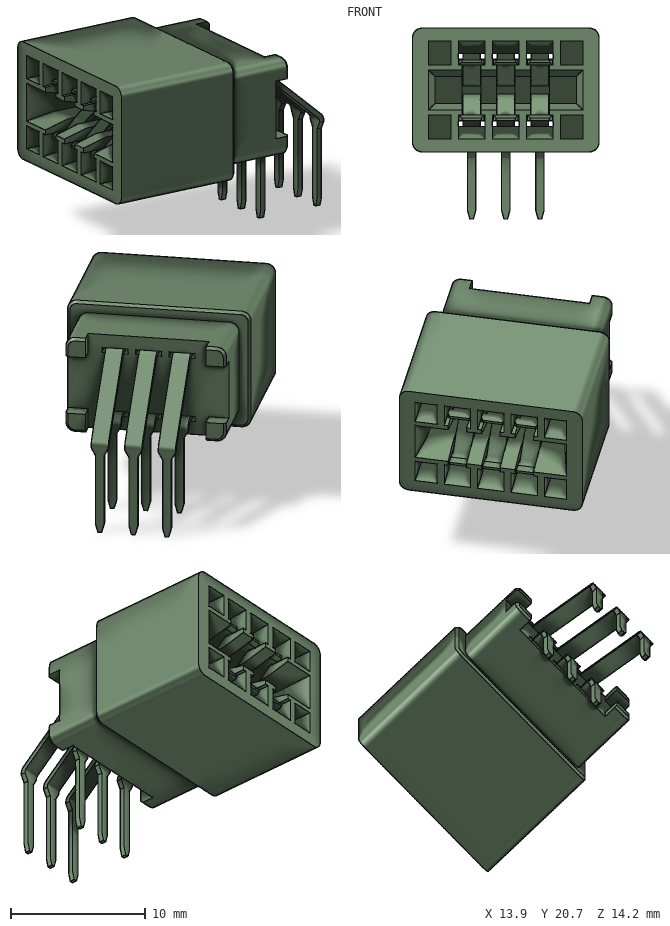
import cadquery as cq
import math


OVERALL_HEIGHT = 14.25

HOUSING_WIDTH = 13.92
HOUSING_HEIGHT = 9.25
HOUSING_LENGTH = 10.22
TAIL_INSET = 0.87
TAIL_END = 15.61
TAIL_NOTCH_DEPTH = 1.2
TAIL_NOTCH_WIDTH = 9.15
TAIL_NOTCH_HEIGHT = 4.53
CORNER_RADIUS = 0.75
EDGE_CHAMFER = 0.2
TAIL_FACE = TAIL_END - TAIL_NOTCH_DEPTH

SLOT_BEVEL = 0.5
SLOT_BEVEL_LENGTH = 2.0
SLOT_MOUTH_WIDTH = 11.5
SLOT_MOUTH_HEIGHT = 2.98
SLOT_DEPTH = 7.85

CONTACT_COUNT = 3
CONTACT_PITCH = 2.55
CAVITY_WIDTH = 1.99
CAVITY_INNER_Z = 1.86
CAVITY_OUTER_Z = 3.66
CAVITY_DEPTH = 9.3
CHANNEL_WIDTH = 1.4
POCKET_WIDTH = 1.68

THICKNESS = 0.4
STRIP_WIDTH = 1.3
STRIP_OUTER_Z = 2.7
BEND_RADIUS = 1.5 * THICKNESS
APEX_RADIUS = 1.45
APEX_Z = 0.3
LEAD_ANGLE = 43.0
ARM_ANGLE = 29.0
LEG_ANGLE = 41.0

TIP_START = 0.66
TIP_END = 1.55
TIP_WIDTH = 1.86
TIP_BEVEL = 0.2
TIP_BEVEL_LENGTH = 0.4

UPPER_PIN_END = 20.68
LOWER_PIN_END = TAIL_END
PIN_WIDTH = 0.65
PIN_POINT_WIDTH = 0.27
PIN_POINT_LENGTH = 0.66
UPPER_SHOULDER_Z = -2.9
SHOULDER_LENGTH = 0.6
PIN_BOTTOM = HOUSING_HEIGHT / 2 - OVERALL_HEIGHT

UPPER = 1
LOWER = -1


def box(width, y_start, y_end, z_start, z_end, x_center=0.0):
    """Axis-aligned block centred on x_center."""
    return (
        cq.Workplane("XY")
        .box(width, y_end - y_start, z_end - z_start, centered=(True, False, False))
        .translate((x_center, y_start, z_start))
    )


def extrude_side_profile(profile, width):
    """Extrude a YZ profile symmetrically about X = 0."""
    return profile.extrude(width / 2, both=True)


def contact_positions():
    middle = (CONTACT_COUNT - 1) / 2
    return [(i - middle) * CONTACT_PITCH for i in range(CONTACT_COUNT)]



def rounded_block(width, height, y_end):
    """Block from Y = 0 with rounded long edges and a chamfered rear face."""
    return (
        box(width, 0, y_end, -height / 2, height / 2)
        .edges("|Y")
        .fillet(CORNER_RADIUS)
        .faces(">Y")
        .chamfer(EDGE_CHAMFER)
    )


def housing_body():
    tail_width = HOUSING_WIDTH - 2 * TAIL_INSET
    tail_height = HOUSING_HEIGHT - 2 * TAIL_INSET
    body = rounded_block(HOUSING_WIDTH, HOUSING_HEIGHT, HOUSING_LENGTH)
    body = body.union(rounded_block(tail_width, tail_height, TAIL_END))
    body = body.cut(box(TAIL_NOTCH_WIDTH, TAIL_FACE, TAIL_END, -tail_height / 2, tail_height / 2))
    return body.cut(box(tail_width, TAIL_FACE, TAIL_END, -TAIL_NOTCH_HEIGHT / 2, TAIL_NOTCH_HEIGHT / 2))


def card_slot():
    """Straight slot with a tapered mouth."""
    width = SLOT_MOUTH_WIDTH - 2 * SLOT_BEVEL
    height = SLOT_MOUTH_HEIGHT - 2 * SLOT_BEVEL
    mouth = (
        cq.Workplane("XZ")
        .rect(SLOT_MOUTH_WIDTH, SLOT_MOUTH_HEIGHT)
        .workplane(offset=-SLOT_BEVEL_LENGTH)
        .rect(width, height)
        .loft(ruled=True)
    )
    return mouth.union(box(width, 0, SLOT_DEPTH, -height / 2, height / 2))


def contact_cavity(side):
    """Tapered cavity that ends in a flat passage out of the tail face."""
    profile = (
        cq.Workplane("YZ")
        .moveTo(0, side * CAVITY_INNER_Z)
        .lineTo(0, side * CAVITY_OUTER_Z)
        .lineTo(CAVITY_DEPTH, side * STRIP_OUTER_Z)
        .lineTo(TAIL_FACE, side * STRIP_OUTER_Z)
        .lineTo(TAIL_FACE, side * (STRIP_OUTER_Z - THICKNESS))
        .lineTo(CAVITY_DEPTH, side * (STRIP_OUTER_Z - THICKNESS))
        .lineTo(CAVITY_DEPTH, side * CAVITY_INNER_Z)
        .close()
    )
    return extrude_side_profile(profile, CAVITY_WIDTH)


def corner_pocket(x_side, z_side):
    """Empty blind pocket, flush with the end of the card slot mouth."""
    z_low, z_high = sorted((z_side * CAVITY_INNER_Z, z_side * CAVITY_OUTER_Z))
    x_center = x_side * (SLOT_MOUTH_WIDTH - POCKET_WIDTH) / 2
    return box(POCKET_WIDTH, 0, CAVITY_DEPTH, z_low, z_high, x_center)


def make_housing():
    housing = housing_body().cut(card_slot())
    channel = box(CHANNEL_WIDTH, 0, CAVITY_DEPTH, -CAVITY_INNER_Z, CAVITY_INNER_Z)
    opening = channel.union(contact_cavity(UPPER)).union(contact_cavity(LOWER))
    for x in contact_positions():
        housing = housing.cut(opening.translate((x, 0, 0)))
    for x_side in (-1, 1):
        for z_side in (UPPER, LOWER):
            housing = housing.cut(corner_pocket(x_side, z_side))
    return housing



def rise(radius, angle):
    """Height gained by a bend that starts or ends level."""
    return radius * (1 - math.cos(math.radians(angle)))


def faces_beside(y, z, heading):
    """Points on the left and right faces of the sheet beside a path point."""
    offset_y = -math.sin(heading) * THICKNESS / 2
    offset_z = math.cos(heading) * THICKNESS / 2
    return (y + offset_y, z + offset_z), (y - offset_y, z - offset_z)


def draw_edge(profile, middle, end):
    """Continue a profile to end, by an arc when a middle point is given."""
    return profile.threePointArc(middle, end) if middle else profile.lineTo(*end)


def bent_strip(start, moves):
    """Sheet strip that follows a path in the YZ plane, heading +Y at first.

    Each move is (length, 0) for a straight or (radius, turn) for a bend in degrees,
    where a positive turn bends to the left, towards +Z at the start.
    """
    y, z = start
    heading = 0.0
    left_start, right_start = faces_beside(y, z, heading)
    profile = cq.Workplane("YZ").moveTo(*left_start)
    right_edges = []
    for size, turn_degrees in moves:
        left_middle = right_middle = None
        if turn_degrees:
            turn = math.radians(turn_degrees)
            curve = math.copysign(size, turn)
            center_y = y - curve * math.sin(heading)
            center_z = z + curve * math.cos(heading)
            halfway = heading + turn / 2
            middle_y = center_y + curve * math.sin(halfway)
            middle_z = center_z - curve * math.cos(halfway)
            left_middle, right_middle = faces_beside(middle_y, middle_z, halfway)
            heading += turn
            y = center_y + curve * math.sin(heading)
            z = center_z - curve * math.cos(heading)
        else:
            y += size * math.cos(heading)
            z += size * math.sin(heading)
        left_end, right_end = faces_beside(y, z, heading)
        profile = draw_edge(profile, left_middle, left_end)
        right_edges.append((right_start, right_middle))
        right_start = right_end

    profile = profile.lineTo(*right_start)
    for edge_start, middle in reversed(right_edges):
        profile = draw_edge(profile, middle, edge_start)
    return extrude_side_profile(profile.close(), STRIP_WIDTH)


def contact_tip(side):
    """Wide flat tip with its front edge bevelled at both ends and towards the card."""
    bevel_end = TIP_START + TIP_BEVEL_LENGTH
    inner_z = side * CAVITY_INNER_Z
    outer_z = side * (CAVITY_INNER_Z + THICKNESS)
    side_profile = cq.Workplane("YZ").polyline([
        (TIP_START, inner_z + side * TIP_BEVEL),
        (bevel_end, inner_z),
        (TIP_END, inner_z),
        (TIP_END, outer_z),
        (TIP_START, outer_z),
    ]).close()
    half_width = TIP_WIDTH / 2
    plan = cq.Workplane("XY").workplane(offset=inner_z).polyline([
        (-half_width + TIP_BEVEL, TIP_START),
        (half_width - TIP_BEVEL, TIP_START),
        (half_width, bevel_end),
        (half_width, TIP_END),
        (-half_width, TIP_END),
        (-half_width, bevel_end),
    ]).close().extrude(side * THICKNESS)
    return extrude_side_profile(side_profile, TIP_WIDTH).intersect(plan)


def solder_pin(y_end, shoulder_z):
    """Flat pin that tapers from the strip width and ends in a blunt point."""
    right_half = [
        (STRIP_WIDTH / 2, shoulder_z),
        (PIN_WIDTH / 2, shoulder_z - SHOULDER_LENGTH),
        (PIN_WIDTH / 2, PIN_BOTTOM + PIN_POINT_LENGTH),
        (PIN_POINT_WIDTH / 2, PIN_BOTTOM),
    ]
    left_half = [(-x, z) for x, z in reversed(right_half)]
    return (
        cq.Workplane("XZ", origin=(0, y_end, 0))
        .polyline(right_half + left_half)
        .close()
        .extrude(THICKNESS)
    )


def spring_moves(side, flat_end):
    """Path from the tip over the spring apex and back out to a flat stretch ending at flat_end."""
    tip_z = CAVITY_INNER_Z + THICKNESS / 2
    apex_z = APEX_Z + THICKNESS / 2
    flat_z = STRIP_OUTER_Z - THICKNESS / 2
    both_radii = BEND_RADIUS + APEX_RADIUS
    lead = math.radians(LEAD_ANGLE)
    arm = math.radians(ARM_ANGLE)
    lead_length = (tip_z - apex_z - rise(both_radii, LEAD_ANGLE)) / math.sin(lead)
    arm_length = (flat_z - apex_z - rise(both_radii, ARM_ANGLE)) / math.sin(arm)
    flat_start = (
        TIP_END
        + both_radii * (math.sin(lead) + math.sin(arm))
        + lead_length * math.cos(lead)
        + arm_length * math.cos(arm)
    )
    return [
        (TIP_END - TIP_START - TIP_BEVEL_LENGTH, 0),
        (BEND_RADIUS, -side * LEAD_ANGLE),
        (lead_length, 0),
        (APEX_RADIUS, side * (LEAD_ANGLE + ARM_ANGLE)),
        (arm_length, 0),
        (BEND_RADIUS, -side * ARM_ANGLE),
        (flat_end - flat_start, 0),
    ]


def make_contact(side, flat_end, leg_moves, pin):
    start = (TIP_START + TIP_BEVEL_LENGTH, side * (CAVITY_INNER_Z + THICKNESS / 2))
    strip = bent_strip(start, spring_moves(side, flat_end) + leg_moves)
    return strip.union(contact_tip(side)).union(pin)


def make_upper_contact():
    """Contact whose leg slopes down behind the housing before it turns straight down."""
    slope = math.radians(LEG_ANGLE)
    leg_reach = UPPER_PIN_END - THICKNESS / 2 - TAIL_FACE
    slope_length = (leg_reach - BEND_RADIUS) / math.cos(slope)
    leg_drop = BEND_RADIUS + slope_length * math.sin(slope)
    leg_moves = [
        (BEND_RADIUS, -LEG_ANGLE),
        (slope_length, 0),
        (BEND_RADIUS, LEG_ANGLE - 90),
        (STRIP_OUTER_Z - THICKNESS / 2 - leg_drop - UPPER_SHOULDER_Z, 0),
    ]
    return make_contact(UPPER, TAIL_FACE, leg_moves, solder_pin(UPPER_PIN_END, UPPER_SHOULDER_Z))


def make_lower_contact():
    """Contact whose leg turns straight down between the housing posts."""
    flat_end = LOWER_PIN_END - THICKNESS / 2 - BEND_RADIUS
    shoulder_z = THICKNESS / 2 - STRIP_OUTER_Z - BEND_RADIUS
    pin = solder_pin(LOWER_PIN_END, shoulder_z)
    return make_contact(LOWER, flat_end, [(BEND_RADIUS, -90)], pin)



housing = make_housing()
upper_contact = make_upper_contact()
lower_contact = make_lower_contact()
contacts = []
for x_position in contact_positions():
    contacts.append(upper_contact.translate((x_position, 0, 0)).val())
    contacts.append(lower_contact.translate((x_position, 0, 0)).val())

result = cq.Compound.makeCompound([housing.val(), *contacts])